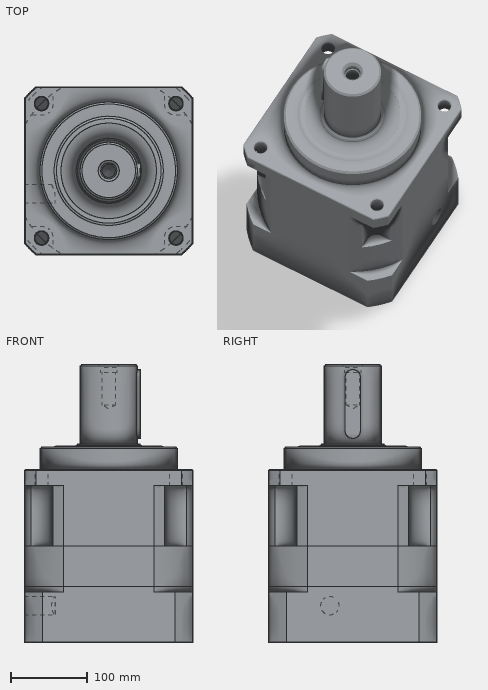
import cadquery as cq
import math


width = 220.0

adapter_shoulder_z = 66.0
adapter_top_z = 73.0
ring_top_z = 126.0
flange_bottom_z = 205.0
flange_top_z = 226.0
pilot_top_z = 256.0
cover_top_z = 257.0
collar_top_z = 259.5
shaft_top_z = 364.0

adapter_corner_radius = 140.0
body_corner_radius = 125.0
flange_corner_radius = 145.5

pocket_wall = 73.0
pocket_fillet = 14.0

bolt_spacing = 176.0
bolt_hole_diameter = 17.0
bolt_hole_chamfer = 1.0
chamfer_angle = 90.0
flange_chamfer = 1.0

pilot_radius = 90.0
pilot_chamfer = 2.5
cover_radius = 71.5
cover_bevel = 3.0
seal_radius = 62.5
seal_depth = 0.5
collar_radius = 42.7
collar_bevel = 2.0

shaft_radius = 37.5
shaft_chamfer = 2.5
center_mouth_radius = 13.8
center_relief_radius = 10.5
center_drill_radius = 8.75
center_cone_depth = 4.0
center_relief_depth = 10.5
center_drill_depth = 53.0
drill_tip_angle = 118.0

key_center_z = 312.0
key_length = 90.0
key_width = 20.0
key_top_radius = 41.5
key_seat_radius = 30.0

access_hole_diameter = 24.0
access_hole_y = -30.0
access_hole_z = 48.0
access_hole_depth = 40.0
access_end_radius = 36.0
access_end_y = -36.0


def rounded_square(bottom_z, top_z, corner_radius):
    """Square prism whose four corners are cut by a cylinder about Z."""
    height = top_z - bottom_z
    square = cq.Workplane("XY", origin=(0, 0, bottom_z)).rect(width, width).extrude(height)
    disc = cq.Workplane("XY", origin=(0, 0, bottom_z)).circle(corner_radius).extrude(height)
    return square.intersect(disc)


def make_access_hole():
    """Cutter along X from the -X face, its inner end rounded about an upright axis."""
    face_x = -width / 2
    end_axis_x = face_x + access_hole_depth - access_end_radius
    hole = (
        cq.Workplane("YZ", origin=(face_x, access_hole_y, access_hole_z))
        .circle(access_hole_diameter / 2)
        .extrude(access_hole_depth)
    )
    rounded_end = (
        cq.Workplane("XY", origin=(end_axis_x, access_end_y, 0))
        .circle(access_end_radius)
        .extrude(adapter_shoulder_z)
    )
    return hole.intersect(rounded_end)


def make_adapter():
    base = rounded_square(0, adapter_shoulder_z, adapter_corner_radius)
    spigot = rounded_square(adapter_shoulder_z, adapter_top_z, body_corner_radius)
    return base.union(spigot).cut(make_access_hole())


def make_ring_gear():
    return rounded_square(adapter_top_z, ring_top_z, body_corner_radius)


def make_corner_pockets():
    """Four square pockets, open at the corners, with one filleted inner edge each."""
    size = width - pocket_wall
    pocket = (
        cq.Workplane("XY", origin=(pocket_wall, pocket_wall, ring_top_z))
        .rect(size, size, centered=False)
        .extrude(flange_bottom_z - ring_top_z)
        .edges("|Z and <X and <Y")
        .fillet(pocket_fillet)
    )
    pockets = cq.Workplane("XY")
    for quarter in range(4):
        pockets = pockets.add(pocket.rotate((0, 0, 0), (0, 0, 1), 90 * quarter))
    return pockets.combine()


def make_flange():
    flange = rounded_square(flange_bottom_z, flange_top_z, flange_corner_radius)
    flange = flange.faces(">Z").chamfer(flange_chamfer)
    mouth_diameter = bolt_hole_diameter + 2 * bolt_hole_chamfer
    return (
        flange.faces(">Z")
        .workplane(origin=(0, 0, flange_top_z))
        .rect(bolt_spacing, bolt_spacing, forConstruction=True)
        .vertices()
        .cskHole(bolt_hole_diameter, mouth_diameter, chamfer_angle)
    )


def make_nose():
    """Pilot, seal cover, collar and shaft, turned about Z in one outline."""
    seal_z = cover_top_z - seal_depth
    outline = [
        (0, flange_bottom_z),
        (pilot_radius, flange_bottom_z),
        (pilot_radius, pilot_top_z - pilot_chamfer),
        (pilot_radius - pilot_chamfer, pilot_top_z),
        (cover_radius, pilot_top_z),
        (cover_radius - cover_bevel, cover_top_z),
        (seal_radius, cover_top_z),
        (seal_radius, seal_z),
        (collar_radius, seal_z),
        (collar_radius, collar_top_z - collar_bevel),
        (collar_radius - collar_bevel, collar_top_z),
        (shaft_radius, collar_top_z),
        (shaft_radius, shaft_top_z - shaft_chamfer),
        (shaft_radius - shaft_chamfer, shaft_top_z),
        (0, shaft_top_z),
    ]
    return cq.Workplane("XZ").polyline(outline).close().revolve(360, (0, 0, 0), (0, 1, 0))


def make_center_hole():
    tip_length = center_drill_radius / math.tan(math.radians(drill_tip_angle / 2))
    outline = [
        (0, shaft_top_z),
        (center_mouth_radius, shaft_top_z),
        (center_relief_radius, shaft_top_z - center_cone_depth),
        (center_relief_radius, shaft_top_z - center_relief_depth),
        (center_drill_radius, shaft_top_z - center_relief_depth),
        (center_drill_radius, shaft_top_z - center_drill_depth),
        (0, shaft_top_z - center_drill_depth - tip_length),
    ]
    return cq.Workplane("XZ").polyline(outline).close().revolve(360, (0, 0, 0), (0, 1, 0))


def make_key():
    """Round-ended upright key, seated in the shaft."""
    return (
        cq.Workplane("YZ", origin=(key_seat_radius, 0, key_center_z))
        .slot2D(key_length, key_width, 90)
        .extrude(key_top_radius - key_seat_radius)
    )


def make_output_housing():
    """Front housing with its flange, nose, output shaft and key."""
    body = rounded_square(ring_top_z, flange_bottom_z, body_corner_radius)
    body = body.cut(make_corner_pockets())
    return (
        body.union(make_flange())
        .union(make_nose())
        .cut(make_center_hole())
        .union(make_key())
    )


adapter = make_adapter()
ring_gear = make_ring_gear()
output_housing = make_output_housing()

result = cq.Compound.makeCompound([adapter.val(), ring_gear.val(), output_housing.val()])